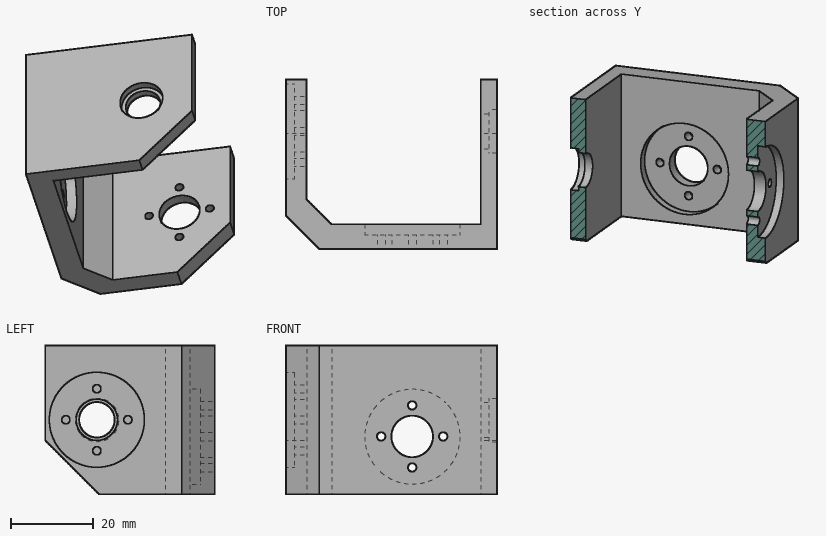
import cadquery as cq

length = 51.0
depth = 41.0
height = 36.0

left_wall = 5.0
right_wall = 4.0
front_wall = 6.0
outer_corner_cut = 8.0
inner_corner_cut = 6.0
bottom_rear_cut = 13.0

mount_bore = 10.0
screw_hole = 2.0
screw_radius = 7.5

front_mount_x = 30.5
front_mount_z = 13.95

side_axis_y = depth - 12.5
side_axis_z = height / 2

recess_diameter = 23.0
left_recess_depth = 2.0
front_recess_depth = 2.5

right_bore = 8.5
right_counterbore = 10.5
right_lip = 2.0


def make_bracket():
    """U-shaped body, open to the rear, with one cut corner."""
    inner_right = length - right_wall
    outline = [
        (outer_corner_cut, 0),
        (length, 0),
        (length, depth),
        (inner_right, depth),
        (inner_right, front_wall),
        (left_wall + inner_corner_cut, front_wall),
        (left_wall, front_wall + inner_corner_cut),
        (left_wall, depth),
        (0, depth),
        (0, outer_corner_cut),
    ]
    return cq.Workplane("XY").polyline(outline).close().extrude(height)


def make_bottom_rear_wedge():
    """Triangular prism that cuts the lower rear corner of both side walls."""
    corner = [(depth, 0), (depth - bottom_rear_cut, 0), (depth, bottom_rear_cut)]
    return cq.Workplane("YZ").polyline(corner).close().extrude(length)


def make_side_plane(start_x):
    """Plane at start_x facing +X, centred on the side axis."""
    return cq.Plane(origin=(start_x, side_axis_y, side_axis_z), xDir=(0, 1, 0), normal=(1, 0, 0))


def make_side_cylinder(start_x, thickness, diameter):
    """Cylinder on the side axis, running toward +X from start_x."""
    return cq.Workplane(make_side_plane(start_x)).circle(diameter / 2).extrude(thickness)


def make_mount_holes(plane, thickness):
    """Central bore with four screw holes around it."""
    bore = cq.Workplane(plane).circle(mount_bore / 2).extrude(thickness)
    screws = (
        cq.Workplane(plane)
        .polarArray(screw_radius, 0, 360, 4)
        .circle(screw_hole / 2)
        .extrude(thickness)
    )
    return bore.union(screws)


front_plane = cq.Plane(origin=(front_mount_x, 0, front_mount_z), xDir=(-1, 0, 0), normal=(0, 1, 0))

result = make_bracket().cut(make_bottom_rear_wedge())

front_recess = (
    cq.Workplane(front_plane)
    .workplane(offset=front_wall - front_recess_depth)
    .circle(recess_diameter / 2)
    .extrude(front_recess_depth)
)
result = result.cut(make_mount_holes(front_plane, front_wall))
result = result.cut(front_recess)

result = result.cut(make_mount_holes(make_side_plane(0), left_wall))
result = result.cut(make_side_cylinder(0, left_recess_depth, recess_diameter))

lip_start = length - right_wall
counterbore_start = lip_start + right_lip
result = result.cut(make_side_cylinder(lip_start, right_wall, right_bore))
result = result.cut(make_side_cylinder(counterbore_start, length - counterbore_start, right_counterbore))